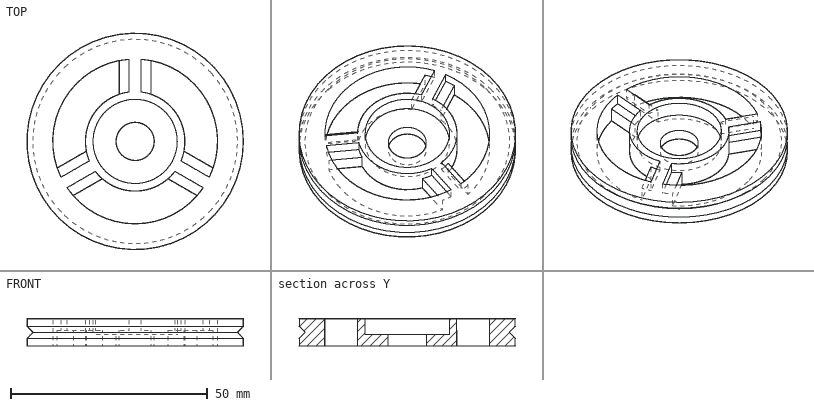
import cadquery as cq

outer_diameter = 55
thickness = 7.0
rim_inner_diameter = 41.8
flange_edge = 2.0
groove_depth = thickness / 2 - flange_edge

hub_diameter = 25.3
recess_diameter = 21.4
recess_depth = 4.0
bore_diameter = 9.6

spoke_count = 3
web_width = 3.1
foot_width = 8.15
foot_height = 4.0
first_spoke_angle = 90


def make_rim():
    outer_radius = outer_diameter / 2
    inner_radius = rim_inner_diameter / 2
    profile = (
        cq.Workplane("XZ")
        .moveTo(inner_radius, 0)
        .lineTo(outer_radius, 0)
        .lineTo(outer_radius, flange_edge)
        .lineTo(outer_radius - groove_depth, thickness / 2)
        .lineTo(outer_radius, thickness - flange_edge)
        .lineTo(outer_radius, thickness)
        .lineTo(inner_radius, thickness)
        .close()
    )
    return profile.revolve(360, (0, 0, 0), (0, 1, 0))


def make_spoke_bar(width, height, angle):
    hub_wall_radius = (hub_diameter + recess_diameter) / 4
    rim_middle_radius = (outer_diameter / 2 - groove_depth + rim_inner_diameter / 2) / 2
    length = rim_middle_radius - hub_wall_radius
    bar = cq.Workplane("XY").box(length, width, height, centered=(False, True, False))
    return bar.translate((hub_wall_radius, 0, 0)).rotate((0, 0, 0), (0, 0, 1), angle)


def cut_hub_openings(body):
    recess = (
        cq.Workplane("XY")
        .workplane(offset=thickness - recess_depth)
        .circle(recess_diameter / 2)
        .extrude(recess_depth)
    )
    bore = cq.Workplane("XY").circle(bore_diameter / 2).extrude(thickness)
    return body.cut(recess).cut(bore)


wheel = make_rim().union(cq.Workplane("XY").circle(hub_diameter / 2).extrude(thickness))
for index in range(spoke_count):
    spoke_angle = first_spoke_angle + index * 360 / spoke_count
    wheel = wheel.union(make_spoke_bar(web_width, thickness, spoke_angle))
    wheel = wheel.union(make_spoke_bar(foot_width, foot_height, spoke_angle))

result = cut_hub_openings(wheel)